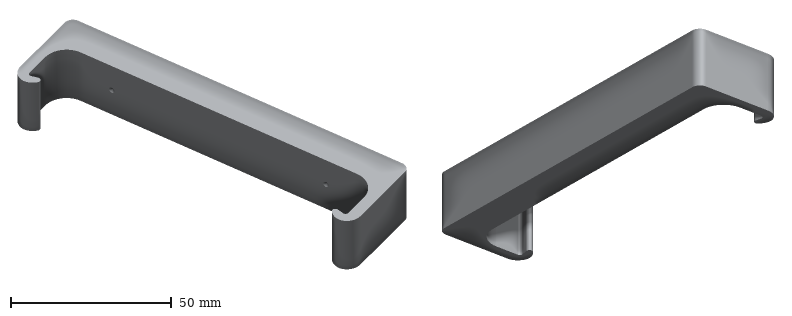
import cadquery as cq
import math

length = 127.0
depth = 33.0
height = 20.0

bar_thickness = 12.0
arm_thickness = 4.0
rear_corner_radius = 3.0
inner_corner_radius = 8.0

hook_start = 5.0
foremost_inset = 4.4
tip_radius = 1.1
tip_inset = 7.8
tip_y = 2.7
tip_joint_angle = math.radians(52)
throat_radius = 1.0
throat_y = 4.2

screw_start_diameter = 2.0
screw_start_angle = math.radians(90)
screw_start_spacing = 80.0


def left_outline():
    """Outline of the left half of the bracket, from the centre plane at X = 0."""
    left = -length / 2
    arm_inside = left + arm_thickness
    bar_front = depth - bar_thickness

    tip = cq.Vector(left + tip_inset, tip_y)
    throat = cq.Vector(arm_inside + throat_radius, throat_y)

    span = tip - throat
    span_angle = math.atan2(span.y, span.x)
    normal_angle = span_angle - math.acos((throat_radius + tip_radius) / span.Length)
    flank_normal = cq.Vector(math.cos(normal_angle), math.sin(normal_angle))
    throat_end = throat + flank_normal * throat_radius
    tip_start = tip - flank_normal * tip_radius

    joint_normal = cq.Vector(math.sin(tip_joint_angle), -math.cos(tip_joint_angle))
    tip_end = tip + joint_normal * tip_radius

    foremost = (left + foremost_inset, 0)
    outer_radius = (foremost_inset**2 + hook_start**2) / (2 * foremost_inset)

    return (
        cq.Workplane("XY")
        .moveTo(0, bar_front)
        .lineTo(arm_inside + inner_corner_radius, bar_front)
        .tangentArcPoint((arm_inside, bar_front - inner_corner_radius), relative=False)
        .lineTo(arm_inside, throat_y)
        .tangentArcPoint(throat_end.toTuple()[:2], relative=False)
        .lineTo(tip_start.x, tip_start.y)
        .tangentArcPoint(tip_end.toTuple()[:2], relative=False)
        .tangentArcPoint(foremost, relative=False)
        .radiusArc((left, hook_start), outer_radius)
        .lineTo(left, depth - rear_corner_radius)
        .tangentArcPoint((left + rear_corner_radius, depth), relative=False)
        .lineTo(0, depth)
        .close()
    )


def screw_start(x):
    """Cone with its base on the inner face of the bar and its point towards +Y."""
    radius = screw_start_diameter / 2
    cone_depth = radius / math.tan(screw_start_angle / 2)
    base_centre = cq.Vector(x, depth - bar_thickness, height / 2)
    return cq.Solid.makeCone(radius, 0, cone_depth, base_centre, cq.Vector(0, 1, 0))


left_half = left_outline().extrude(height)
result = left_half.union(left_half.mirror("YZ")).clean()
for side in (-1, 1):
    result = result.cut(cq.Workplane(screw_start(side * screw_start_spacing / 2)))